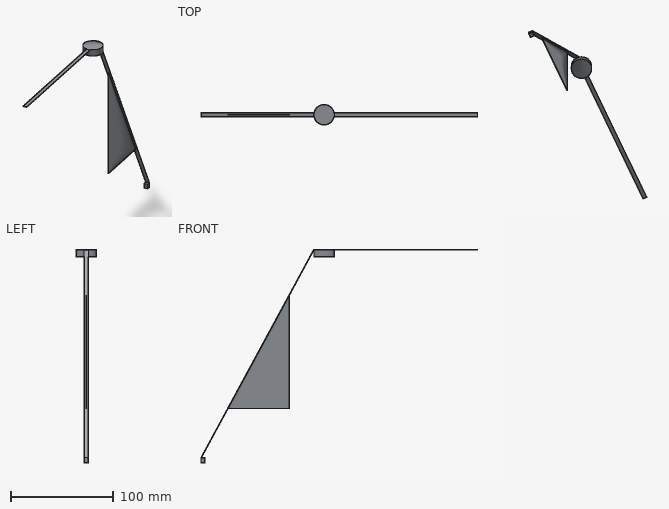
import cadquery as cq
import math

overall_length = 270.32
overall_height = 208.26
hub_diameter = 20.0
hub_height = 7.0
strip_width = 4.0
strip_thickness = 0.5
level_arm_reach = 150.0
foot_side = 4.0
foot_height = 5.0
fin_thickness = 0.5
fin_edge_x = -34.0
fin_bottom_z = -155.2

hub_radius = hub_diameter / 2
foot_left_x = level_arm_reach - overall_length
foot_center_x = foot_left_x + foot_side / 2
foot_bottom_z = -overall_height
foot_top_z = foot_bottom_z + foot_height

arm_top_x = -hub_radius - strip_thickness / 2
arm_slope = foot_top_z / (foot_left_x - arm_top_x)
strip_span_x = strip_thickness / math.sin(math.atan(arm_slope))


def extruded_profile(points, width):
    """Extrude an XZ outline symmetrically about the plane Y = 0."""
    return cq.Workplane("XZ").polyline(points).close().extrude(width / 2, both=True)


def make_hub():
    return cq.Workplane("XY").circle(hub_radius).extrude(-hub_height)


def make_level_arm():
    return extruded_profile(
        [
            (0, 0),
            (level_arm_reach, 0),
            (level_arm_reach, -strip_thickness),
            (0, -strip_thickness),
        ],
        strip_width,
    )


def make_inclined_arm():
    return extruded_profile(
        [
            (arm_top_x, 0),
            (arm_top_x + strip_span_x, 0),
            (foot_left_x + strip_span_x, foot_top_z),
            (foot_left_x, foot_top_z),
        ],
        strip_width,
    )


def make_foot():
    return (
        cq.Workplane("XY", origin=(foot_center_x, 0, foot_bottom_z))
        .rect(foot_side, foot_side)
        .extrude(foot_height)
    )


def make_fin():
    fin_top_z = (fin_edge_x - arm_top_x) * arm_slope
    fin_tip_x = arm_top_x + fin_bottom_z / arm_slope
    return extruded_profile(
        [
            (fin_edge_x, fin_top_z),
            (fin_edge_x, fin_bottom_z),
            (fin_tip_x, fin_bottom_z),
        ],
        fin_thickness,
    )


result = (
    make_hub()
    .union(make_level_arm())
    .union(make_inclined_arm())
    .union(make_foot())
    .union(make_fin())
)